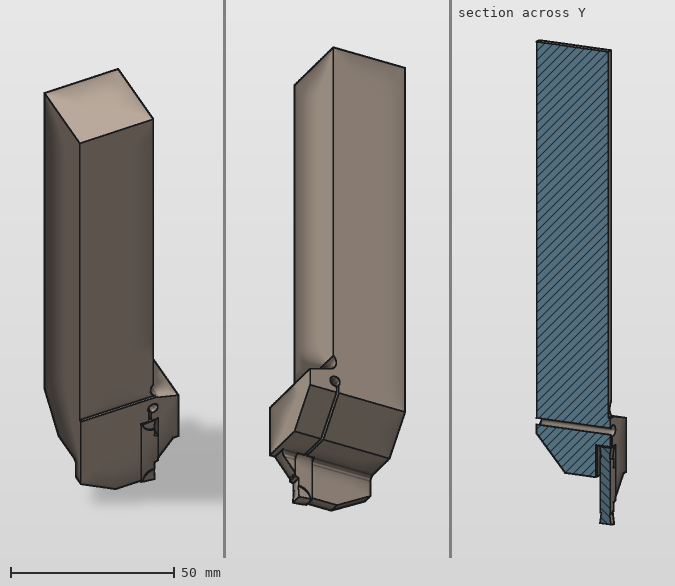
import cadquery as cq
import math

shank_size = 25.0
shank_top = 150.0
shank_bottom = 14.6
corner_bevel_x = 10.0
corner_bevel_z = 11.3

insert_length = 24.8
insert_width = 3.7
insert_seat_y = 20.4
insert_back_y = 26.2
cutting_edge_width = 4.06
cutting_edge_x_max = 26.04
insert_mid_x = cutting_edge_x_max - cutting_edge_width / 2
tip_y = shank_size
neck_start = 6.8
neck_end = 7.3
tip_relief_angle = math.radians(6)
tip_radius = 4.1
tip_base_width = 2.9

blade_x_min = insert_mid_x - insert_width / 2
blade_x_max = insert_mid_x + insert_width / 2
blade_bottom = 1.0
blade_bevel_y = 11.7
blade_bevel_z = 7.8
blade_root_fillet = 1.5
lip_top = 34.0

jaw_y = 33.1
jaw_shoulder_z = 31.75
jaw_slope = math.radians(15)
jaw_tip_y = 31.3
jaw_nose_z = 8.3
relief_radius = 3.0
relief_y = 27.0
relief_z = 36.55

hole_diameter = 3.4
hole_y = 24.4
hole_z = 29.75
slit_y_min = 23.05
slit_y_max = 23.9


def extrude_x(outline, x_min, x_max):
    """Extrude a closed outline, drawn as (y, z), from x_min to x_max."""
    return outline.extrude(x_max - x_min).translate((x_min, 0, 0))


def box_between(x_min, x_max, y_min, y_max, z_min, z_max):
    size = (x_max - x_min, y_max - y_min, z_max - z_min)
    return cq.Workplane("XY").box(*size, centered=False).translate((x_min, y_min, z_min))


def make_side_outline():
    """Outline in Y and Z of the shank, the blade and the jaw together."""
    arc_start_z = relief_z + math.sqrt(relief_radius**2 - (relief_y - shank_size) ** 2)
    arc_end_y = relief_y - relief_radius * math.sin(jaw_slope)
    arc_end_z = relief_z - relief_radius * math.cos(jaw_slope)
    return (
        cq.Workplane("YZ")
        .moveTo(0, shank_top)
        .lineTo(shank_size, shank_top)
        .lineTo(shank_size, arc_start_z)
        .threePointArc((relief_y - relief_radius, relief_z), (arc_end_y, arc_end_z))
        .lineTo(jaw_y, jaw_shoulder_z)
        .lineTo(jaw_y, shank_bottom)
        .lineTo(jaw_tip_y, shank_bottom)
        .lineTo(insert_back_y, jaw_nose_z)
        .lineTo(insert_back_y, blade_bottom)
        .lineTo(blade_bevel_y, blade_bottom)
        .lineTo(0, blade_bevel_z)
        .close()
    )


def make_front_profile(y_depth):
    """Outline in X and Z: bevelled shank, blade with root fillet, and side lip."""
    root_x = blade_x_min - blade_root_fillet
    root_z = shank_bottom - blade_root_fillet
    mid_offset = blade_root_fillet * math.sqrt(0.5)
    return (
        cq.Workplane("XZ")
        .moveTo(0, shank_top)
        .lineTo(shank_size, shank_top)
        .lineTo(shank_size, lip_top)
        .lineTo(blade_x_max, lip_top)
        .lineTo(blade_x_max, 0)
        .lineTo(blade_x_min, 0)
        .lineTo(blade_x_min, root_z)
        .threePointArc((root_x + mid_offset, root_z + mid_offset), (root_x, shank_bottom))
        .lineTo(corner_bevel_x, shank_bottom)
        .lineTo(0, shank_bottom + corner_bevel_z)
        .close()
        .extrude(-y_depth)
    )


def make_holder():
    side = extrude_x(make_side_outline(), 0, blade_x_max)
    body = side.intersect(make_front_profile(jaw_y))

    pocket = box_between(
        blade_x_min - blade_root_fillet, blade_x_max, insert_seat_y, insert_back_y, 0, insert_length
    )
    slit = box_between(0, blade_x_max, slit_y_min, slit_y_max, shank_bottom, hole_z)
    hole_outline = cq.Workplane("YZ").center(hole_y, hole_z).circle(hole_diameter / 2)
    hole = extrude_x(hole_outline, 0, blade_x_max)
    return body.cut(pocket).cut(slit).cut(hole)


def make_insert_outline():
    """Outline in Y and Z, the same at both ends."""
    relief_rise = (tip_y - insert_seat_y) * math.tan(tip_relief_angle)
    return (
        cq.Workplane("YZ")
        .moveTo(tip_y, 0)
        .lineTo(tip_y, neck_start)
        .lineTo(insert_back_y, neck_end)
        .lineTo(insert_back_y, insert_length - neck_end)
        .lineTo(tip_y, insert_length - neck_start)
        .lineTo(tip_y, insert_length)
        .lineTo(insert_seat_y, insert_length - relief_rise)
        .lineTo(insert_seat_y, relief_rise)
        .close()
    )


def make_tip_zone(tip_z):
    """Round zone about a tip, wherever the flat insert sides give way to tapered ones."""
    outline = cq.Workplane("YZ").center(tip_y, tip_z).circle(tip_radius)
    return extrude_x(outline, insert_mid_x - cutting_edge_width, insert_mid_x + cutting_edge_width)


def make_tip_taper(tip_z, inward):
    """Wedge that is widest at the cutting edge and narrows along the insert."""
    base_z = tip_z + inward * tip_radius
    edge_half = cutting_edge_width / 2
    base_half = tip_base_width / 2
    return (
        cq.Workplane("XZ")
        .polyline(
            [
                (insert_mid_x - edge_half, tip_z),
                (insert_mid_x + edge_half, tip_z),
                (insert_mid_x + base_half, base_z),
                (insert_mid_x - base_half, base_z),
            ]
        )
        .close()
        .extrude(-jaw_y)
    )


def make_insert():
    blank = extrude_x(
        make_insert_outline(), insert_mid_x - cutting_edge_width / 2, cutting_edge_x_max
    )
    body = extrude_x(make_insert_outline(), blade_x_min, blade_x_max)
    for tip_z, inward in ((0, 1), (insert_length, -1)):
        zone = make_tip_zone(tip_z)
        tip = blank.intersect(zone).intersect(make_tip_taper(tip_z, inward))
        body = body.cut(zone).union(tip)
    return body


holder = make_holder()
insert = make_insert()
result = cq.Compound.makeCompound([*holder.solids().vals(), *insert.solids().vals()])